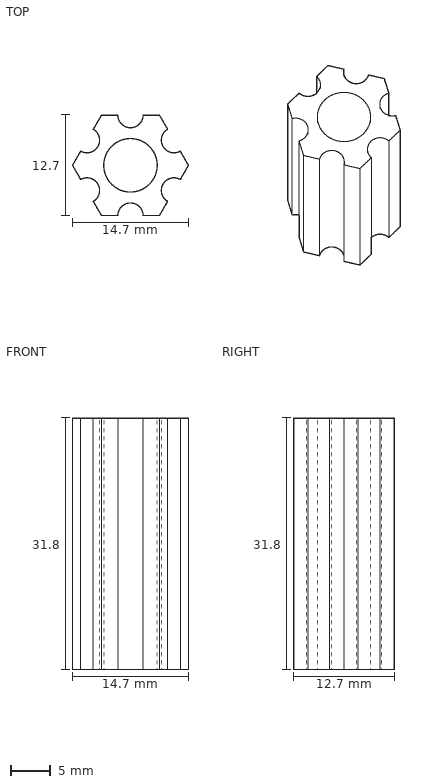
import cadquery as cq
import math

length = 31.75
across_flats = 12.7
bore_diameter = 6.73
groove_radius = 1.6
side_count = 6

flat_distance = across_flats / 2
across_corners = across_flats / math.cos(math.pi / side_count)

hex_bar = cq.Workplane("XY").polygon(side_count, across_corners).extrude(length)

bore = cq.Workplane("XY").circle(bore_diameter / 2).extrude(length)

grooves = (
    cq.Workplane("XY")
    .polarArray(flat_distance, 180 / side_count, 360, side_count)
    .circle(groove_radius)
    .extrude(length)
)

result = hex_bar.cut(bore).cut(grooves)